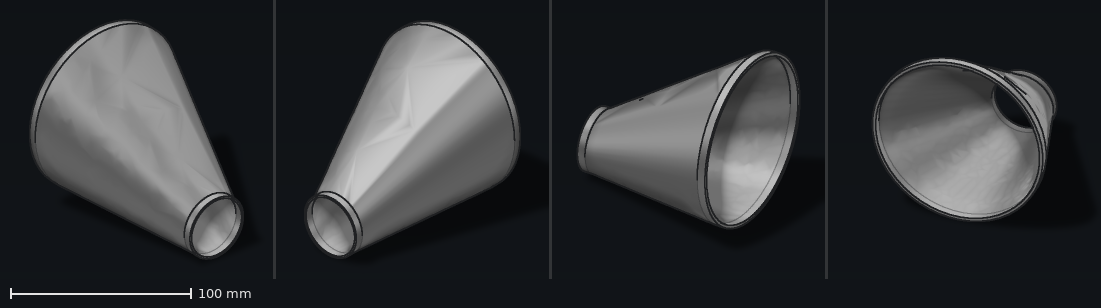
import cadquery as cq

length = 102.0
collar_length = 5.0
large_diameter = 101.6
large_bore = 97.6
small_diameter = 38.1
small_bore = 35.7

large_axis_z = large_diameter / 2
small_axis_z = small_diameter / 2
cone_length = length - 2 * collar_length


def collar(start_x, axis_z, diameter):
    """Solid cylinder along X, one collar long."""
    return (
        cq.Workplane("YZ", origin=(start_x, 0, axis_z))
        .circle(diameter / 2)
        .extrude(collar_length)
    )


def reducer(inlet_diameter, outlet_diameter):
    """Two offset collars joined by an oblique cone."""
    cone = (
        cq.Workplane("YZ", origin=(collar_length, 0, large_axis_z))
        .circle(inlet_diameter / 2)
        .workplane(offset=cone_length)
        .center(0, small_axis_z - large_axis_z)
        .circle(outlet_diameter / 2)
        .loft(ruled=True)
    )
    inlet = collar(0, large_axis_z, inlet_diameter)
    outlet = collar(length - collar_length, small_axis_z, outlet_diameter)
    return cone.union(inlet).union(outlet)


outer_body = reducer(large_diameter, small_diameter)
inner_passage = reducer(large_bore, small_bore)
result = outer_body.cut(inner_passage)